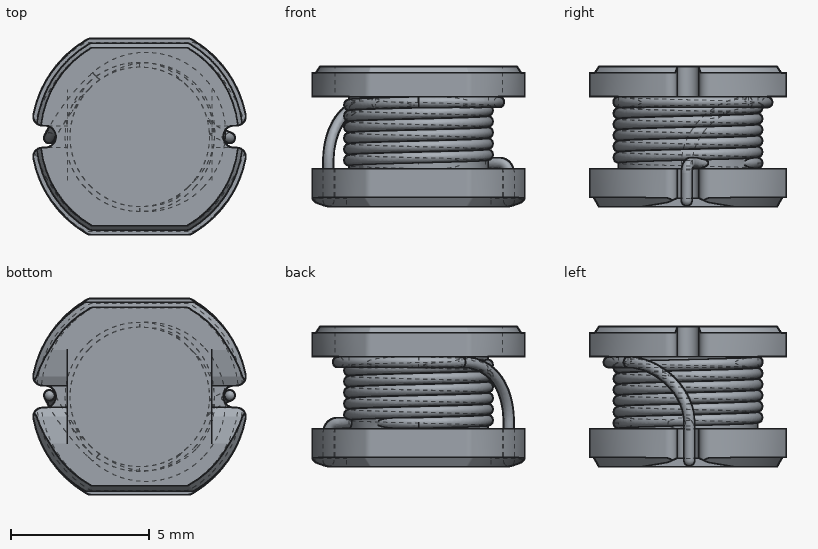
import cadquery as cq
import math


LENGTH = 7.68
WIDTH = 7.1
HEIGHT = 5.07
SIDE_RADIUS = 4.055
CORNER_RADIUS = 0.345
NOTCH_RADIUS = 0.39
NOTCH_BOTTOM_X = 3.02

LOWER_TIER_TOP = 0.345
LOWER_FLANGE_TOP = 1.38
UPPER_FLANGE_BOTTOM = 3.98
UPPER_TIER_BOTTOM = 4.83

UPPER_TIER_INSET = 0.18
UPPER_TAPER_INSET = 0.34

LOWER_TIER_RADIUS = 3.93
LOWER_TIER_FLAT = 3.41
UNDERSIDE_RADIUS = 3.655
UNDERSIDE_FLAT = 3.22
LOWER_TIER_CORNER = 0.15

RELIEF_X = 2.61
RELIEF_HALF_WIDTH = 1.69
RELIEF_KNEE_Y = 0.72
RELIEF_KNEE_Z = 0.16
RELIEF_HEIGHT = 0.315

CORE_RADIUS = 2.52
CORE_OVERLAP = 0.08
WIRE_RADIUS = 0.196
COIL_RADIUS = 2.495
COIL_PITCH = 0.4
COIL_TURNS = 5.5
COIL_START_Z = 1.58
COIL_END_Z = COIL_START_Z + COIL_PITCH * COIL_TURNS

LAST_TURN_X = 0.22
LAST_TURN_Y = 0.18
LAST_TURN_END_Y = 2.17

LEAD_X = 3.26
LEAD_Y = -0.045
LEAD_TIP_Z = 0.03
LEAD_BEND_RADIUS = 0.36
LEAD_HEADING = math.radians(-23)
LEAD_STRAIGHT_TOP = 1.59
BEND_PULL_OUT = 1.535
BEND_PULL_UP = 1.205

NOTCH_CORNER_X = LENGTH / 2 - CORNER_RADIUS
NOTCH_CORNER_Y = NOTCH_RADIUS + CORNER_RADIUS
SIDE_CENTRE = math.sqrt((SIDE_RADIUS - CORNER_RADIUS) ** 2 - NOTCH_CORNER_Y**2) - NOTCH_CORNER_X


def rounded_lens(z, radius, centre, half_width, corner):
    """Wire with two side arcs and two flats, its four corners rounded."""
    flat_end = math.sqrt((radius - corner) ** 2 - (half_width - corner) ** 2) - centre
    scale = radius / (radius - corner)
    arc_x = (flat_end + centre) * scale - centre
    arc_y = (half_width - corner) * scale
    turn = math.atan2(flat_end + centre, half_width - corner) / 2
    mid_x = flat_end + corner * math.sin(turn)
    mid_y = half_width - corner + corner * math.cos(turn)
    side_x = radius - centre
    return (
        cq.Workplane("XY", origin=(0, 0, z))
        .moveTo(-flat_end, half_width)
        .lineTo(flat_end, half_width)
        .threePointArc((mid_x, mid_y), (arc_x, arc_y))
        .threePointArc((side_x, 0), (arc_x, -arc_y))
        .threePointArc((mid_x, -mid_y), (flat_end, -half_width))
        .lineTo(-flat_end, -half_width)
        .threePointArc((-mid_x, -mid_y), (-arc_x, -arc_y))
        .threePointArc((-side_x, 0), (-arc_x, arc_y))
        .threePointArc((-mid_x, mid_y), (-flat_end, half_width))
        .close()
    )


def flange_lens(z, inset):
    """Flange outline without notches, moved inwards by the inset."""
    return rounded_lens(z, SIDE_RADIUS - inset, SIDE_CENTRE, WIDTH / 2 - inset, CORNER_RADIUS - inset)


def flange_prism(bottom, top):
    """Straight plate with the flange outline, both notches and their rounded mouths."""
    plate = flange_lens(bottom, 0).extrude(top - bottom)
    slot_length = LENGTH / 2 - NOTCH_BOTTOM_X
    for side in (-1, 1):
        slot = (
            cq.Workplane("XY", origin=(0, 0, bottom))
            .center(side * LENGTH / 2, 0)
            .slot2D(2 * slot_length, 2 * NOTCH_RADIUS)
            .extrude(top - bottom)
        )
        plate = plate.cut(slot)
    mouth_x = NOTCH_BOTTOM_X + 2 * NOTCH_RADIUS
    for near, far in ((-LENGTH, -mouth_x), (mouth_x, LENGTH)):
        mouth = cq.selectors.BoxSelector((near, -NOTCH_CORNER_Y, bottom), (far, NOTCH_CORNER_Y, top))
        plate = plate.edges(mouth).edges("|Z").fillet(CORNER_RADIUS)
    return plate


def tier(lower_wire, upper_wire):
    """Tapered plate between two outlines."""
    return cq.Workplane(cq.Solid.makeLoft([lower_wire.val(), upper_wire.val()], True))


def upper_flange():
    """Notched plate with a ledge and a tapered top."""
    plate = flange_prism(UPPER_FLANGE_BOTTOM, HEIGHT)
    below = flange_lens(UPPER_FLANGE_BOTTOM, 0).extrude(UPPER_TIER_BOTTOM - UPPER_FLANGE_BOTTOM)
    taper = tier(flange_lens(UPPER_TIER_BOTTOM, UPPER_TIER_INSET), flange_lens(HEIGHT, UPPER_TAPER_INSET))
    return plate.intersect(below.union(taper))


def lower_flange():
    """Notched plate with a tapered foot, relieved under both X ends."""
    plate = flange_prism(0, LOWER_FLANGE_TOP)
    above = flange_lens(LOWER_TIER_TOP, 0).extrude(LOWER_FLANGE_TOP - LOWER_TIER_TOP)
    taper = tier(
        rounded_lens(0, UNDERSIDE_RADIUS, 0, UNDERSIDE_FLAT, LOWER_TIER_CORNER),
        rounded_lens(LOWER_TIER_TOP, LOWER_TIER_RADIUS, 0, LOWER_TIER_FLAT, LOWER_TIER_CORNER),
    )
    flange = plate.intersect(above.union(taper))
    for side in (-1, 1):
        flange = flange.cut(end_relief(side))
    return flange


def end_relief(side):
    """Cutter under one X end: a roof that rises from both sides to a flat as wide as the notch."""
    half_roof = [(RELIEF_HALF_WIDTH, 0), (RELIEF_KNEE_Y, RELIEF_KNEE_Z), (NOTCH_RADIUS, RELIEF_HEIGHT)]
    mirrored_roof = [(-y, z) for y, z in reversed(half_roof)]
    return (
        cq.Workplane("YZ", origin=(side * RELIEF_X, 0, 0))
        .polyline(half_roof + mirrored_roof)
        .close()
        .extrude(side * LENGTH / 2)
    )


def core():
    """Round post between the flanges."""
    return (
        cq.Workplane("XY", origin=(0, 0, LOWER_FLANGE_TOP - CORE_OVERLAP))
        .circle(CORE_RADIUS)
        .extrude(UPPER_FLANGE_BOTTOM - LOWER_FLANGE_TOP + 2 * CORE_OVERLAP)
    )


def wire_along(edge, start, direction):
    """Round wire swept along a smooth edge."""
    section = cq.Workplane(cq.Plane(origin=start, normal=direction)).circle(WIRE_RADIUS)
    return section.sweep(cq.Workplane(cq.Wire.assembleEdges([edge])))


def coil():
    """Single-layer winding, from the +Y side up to the -Y side."""
    helix = cq.Wire.makeHelix(COIL_PITCH, COIL_END_Z - COIL_START_Z, COIL_RADIUS)
    rise = COIL_PITCH / (2 * math.pi * COIL_RADIUS)
    section = cq.Workplane(cq.Plane(origin=(COIL_RADIUS, 0, 0), normal=(0, 1, rise))).circle(WIRE_RADIUS)
    turns = section.sweep(cq.Workplane(helix), isFrenet=True)
    return turns.rotate((0, 0, 0), (0, 0, 1), 90).translate((0, 0, COIL_START_Z))


def leg(top):
    """Straight vertical wire end with a round tip."""
    tip_centre_z = LEAD_TIP_Z + WIRE_RADIUS
    tip = cq.Workplane("XY", origin=(top.x, top.y, tip_centre_z)).sphere(WIRE_RADIUS)
    shank = (
        cq.Workplane("XY", origin=(top.x, top.y, tip_centre_z))
        .circle(WIRE_RADIUS)
        .extrude(top.z - tip_centre_z)
    )
    return shank.union(tip)


def upper_lead():
    """Widened last turn, then a bend down into the notch at -X and a straight leg."""
    start = cq.Vector(0, -COIL_RADIUS, COIL_END_Z)
    radius = math.hypot(LAST_TURN_X, COIL_RADIUS + LAST_TURN_Y)
    middle = cq.Vector(LAST_TURN_X + radius, LAST_TURN_Y, COIL_END_Z)
    end_dy = LAST_TURN_END_Y - LAST_TURN_Y
    end_dx = -math.sqrt(radius**2 - end_dy**2)
    end = cq.Vector(LAST_TURN_X + end_dx, LAST_TURN_END_Y, COIL_END_Z)
    leg_top = cq.Vector(-LEAD_X, LEAD_Y, LEAD_STRAIGHT_TOP)
    arc = cq.Edge.makeThreePointArc(start, middle, end)
    end_heading = cq.Vector(-end_dy, end_dx, 0).normalized()
    bend = cq.Edge.makeBezier(
        [end, end + end_heading * BEND_PULL_OUT, leg_top + cq.Vector(0, 0, BEND_PULL_UP), leg_top]
    )
    turn = wire_along(arc, start, (COIL_RADIUS + LAST_TURN_Y, LAST_TURN_X, 0))
    drop = wire_along(bend, end, end_heading)
    return turn.union(drop).union(leg(leg_top))


def lower_lead():
    """Lead from the first turn out of the winding and down into the notch at +X."""
    heading = cq.Vector(math.cos(LEAD_HEADING), math.sin(LEAD_HEADING), 0)
    corner = cq.Vector(LEAD_X, LEAD_Y, COIL_START_Z)
    start = cq.Vector(0, COIL_RADIUS, COIL_START_Z)
    bend_start = corner - heading * LEAD_BEND_RADIUS
    leg_top = corner - cq.Vector(0, 0, LEAD_BEND_RADIUS)
    bend_centre = bend_start - cq.Vector(0, 0, LEAD_BEND_RADIUS)
    bend_middle = bend_centre + (heading + cq.Vector(0, 0, 1)) * (LEAD_BEND_RADIUS * math.sqrt(0.5))
    run = cq.Edge.makeSpline([start, bend_start], [cq.Vector(COIL_RADIUS, 0, 0), heading * COIL_RADIUS])
    bend = cq.Edge.makeThreePointArc(bend_start, bend_middle, leg_top)
    outward = wire_along(run, start, (1, 0, 0))
    drop = wire_along(bend, bend_start, heading)
    return outward.union(drop).union(leg(leg_top))


result = core()
for piece in (lower_flange(), upper_flange(), coil(), upper_lead(), lower_lead()):
    result = result.union(piece)